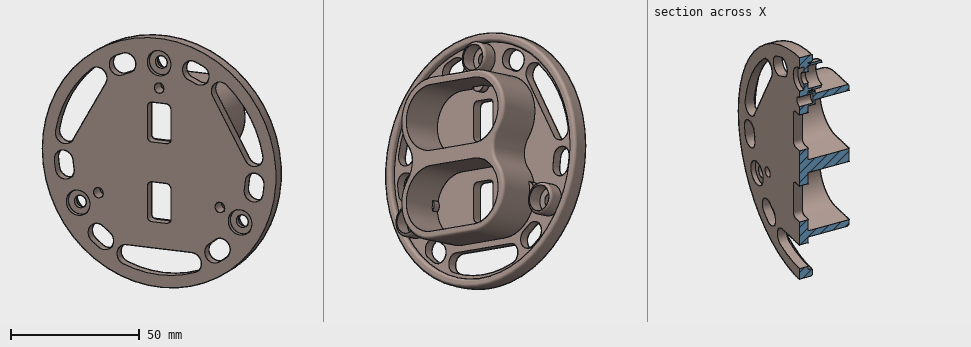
import cadquery as cq
import math

plate_diameter = 100
plate_thickness = 6
dish_diameter = 93
floor_thickness = 4
edge_rounding = 1.2

back_y = 22
chamber_spacing = 32
chamber_straight = 22
housing_wall = 3
housing_end_radius = chamber_spacing / 2
chamber_height = 2 * (housing_end_radius - housing_wall)
waist_radius = 10

window_width = 10
window_height = 16
window_corner_radius = 2

arm_angles = [90, 210, 330]
screw_circle_radius = 40
screw_hole_diameter = 5
counterbore_diameter = 10.1
counterbore_depth = 2
boss_diameter = 12.5
boss_top_y = 10
boss_bore_diameter = 10.1
pin_circle_radius = 30
pin_hole_diameter = 4.1
pin_hole_depth = 6
pad_diameter = 6
pad_top_y = 7

slot_circle_radius = 41
slot_end_radius = 4
slot_outer_radius = slot_circle_radius + slot_end_radius
slot_inner_radius = slot_circle_radius - slot_end_radius
large_slot_half_angle = 20
small_slot_start_angle = 20
small_slot_end_angle = 25


def plane_at(y):
    """Sketch plane facing +Y, with local x along -X and local y along Z."""
    return cq.Workplane(cq.Plane(origin=(0, y, 0), xDir=(-1, 0, 0), normal=(0, 1, 0)))


def polar(radius, angle):
    return (radius * math.cos(math.radians(angle)), radius * math.sin(math.radians(angle)))


def cylinder(center, diameter, y_start, y_end):
    return plane_at(y_start).center(*center).circle(diameter / 2).extrude(y_end - y_start)


def turned(body, angle):
    return body.rotate((0, 0, 0), (0, 1, 0), angle)


def make_plate():
    plate = cylinder((0, 0), plate_diameter, 0, plate_thickness)
    plate = plate.cut(cylinder((0, 0), dish_diameter, floor_thickness, plate_thickness))
    return plate.faces(">Y").edges().fillet(edge_rounding)


def make_housing():
    """Two stacked round-ended blocks blended by a concave waist on each side."""
    half_straight = chamber_straight / 2
    half_spacing = chamber_spacing / 2
    top = half_spacing + housing_end_radius
    tip = half_straight + housing_end_radius
    center_distance = housing_end_radius + waist_radius
    waist_offset = math.sqrt(center_distance**2 - half_spacing**2)
    waist_center_x = half_straight + waist_offset
    tangent_x = half_straight + waist_offset * housing_end_radius / center_distance
    tangent_z = half_spacing * waist_radius / center_distance
    waist_x = waist_center_x - waist_radius
    outline = (
        plane_at(floor_thickness)
        .moveTo(-half_straight, top)
        .lineTo(half_straight, top)
        .threePointArc((tip, half_spacing), (tangent_x, tangent_z))
        .threePointArc((waist_x, 0), (tangent_x, -tangent_z))
        .threePointArc((tip, -half_spacing), (half_straight, -top))
        .lineTo(-half_straight, -top)
        .threePointArc((-tip, -half_spacing), (-tangent_x, -tangent_z))
        .threePointArc((-waist_x, 0), (-tangent_x, tangent_z))
        .threePointArc((-tip, half_spacing), (-half_straight, top))
        .close()
    )
    return outline.extrude(back_y - floor_thickness).faces(">Y").edges().fillet(edge_rounding)


def make_boss(angle):
    boss = cylinder(polar(screw_circle_radius, angle), boss_diameter, floor_thickness, boss_top_y)
    return boss.faces(">Y").edges().fillet(edge_rounding)


def make_screw_hole(angle):
    center = polar(screw_circle_radius, angle)
    hole = cylinder(center, screw_hole_diameter, 0, floor_thickness)
    counterbore = cylinder(center, counterbore_diameter, 0, counterbore_depth)
    boss_bore = cylinder(center, boss_bore_diameter, floor_thickness, boss_top_y)
    return hole.union(counterbore).union(boss_bore)


def make_large_slot():
    """Opening below the centre, with a straight inner side and a round outer side."""
    start_angle = -90 - large_slot_half_angle
    end_angle = -90 + large_slot_half_angle
    left_x, end_z = polar(slot_circle_radius, start_angle)
    inner_z = end_z + slot_end_radius
    cap_angle = (end_angle + 90) / 2
    cap_x, cap_z = polar(slot_end_radius, cap_angle)
    return (
        plane_at(0)
        .moveTo(left_x, inner_z)
        .lineTo(-left_x, inner_z)
        .threePointArc((-left_x + cap_x, end_z + cap_z), polar(slot_outer_radius, end_angle))
        .threePointArc((0, -slot_outer_radius), polar(slot_outer_radius, start_angle))
        .threePointArc((left_x - cap_x, end_z + cap_z), (left_x, inner_z))
        .close()
        .extrude(floor_thickness)
    )


def make_small_slot(start_angle, end_angle):
    """Short curved slot with round ends, following the slot circle."""
    middle_angle = (start_angle + end_angle) / 2
    ring_part = (
        plane_at(0)
        .moveTo(*polar(slot_inner_radius, start_angle))
        .lineTo(*polar(slot_outer_radius, start_angle))
        .threePointArc(polar(slot_outer_radius, middle_angle), polar(slot_outer_radius, end_angle))
        .lineTo(*polar(slot_inner_radius, end_angle))
        .threePointArc(polar(slot_inner_radius, middle_angle), polar(slot_inner_radius, start_angle))
        .close()
        .extrude(floor_thickness)
    )
    for angle in (start_angle, end_angle):
        end = cylinder(polar(slot_circle_radius, angle), 2 * slot_end_radius, 0, floor_thickness)
        ring_part = ring_part.union(end)
    return ring_part


result = make_plate().union(make_housing())
for arm in arm_angles:
    result = result.union(make_boss(arm))

chamber_centers = [(0, chamber_spacing / 2), (0, -chamber_spacing / 2)]
chambers = (
    plane_at(floor_thickness)
    .pushPoints(chamber_centers)
    .slot2D(chamber_straight + chamber_height, chamber_height)
    .extrude(back_y - floor_thickness)
)
windows = (
    plane_at(0)
    .pushPoints(chamber_centers)
    .rect(window_width, window_height)
    .extrude(floor_thickness)
    .edges("|Y")
    .fillet(window_corner_radius)
)
result = result.cut(chambers).cut(windows)

for arm in arm_angles:
    result = result.union(cylinder(polar(pin_circle_radius, arm), pad_diameter, floor_thickness, pad_top_y))

large_slot = make_large_slot()
for arm in arm_angles:
    result = result.cut(make_screw_hole(arm))
    result = result.cut(cylinder(polar(pin_circle_radius, arm), pin_hole_diameter, 0, pin_hole_depth))
    result = result.cut(turned(large_slot, arm - 90))
    for side in (-1, 1):
        slot = make_small_slot(arm + side * small_slot_start_angle, arm + side * small_slot_end_angle)
        result = result.cut(slot)